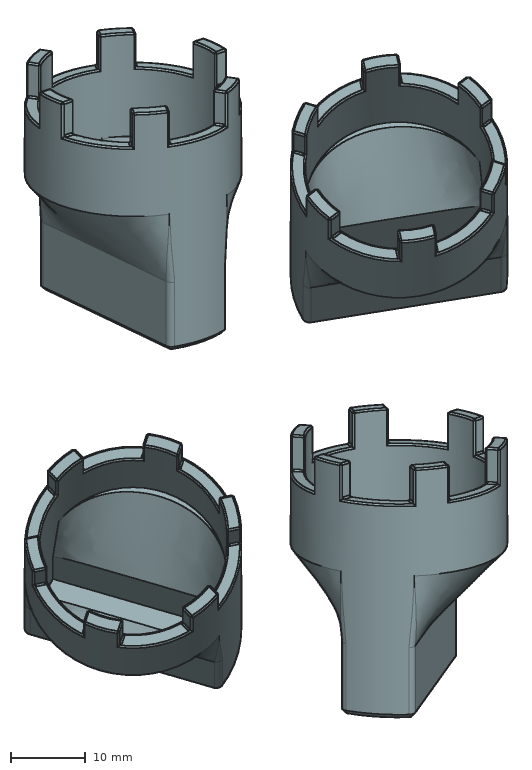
import cadquery as cq
import math

outer_radius = 29.0 / 2
wall = 2.0
bore_radius = outer_radius - wall

blade_top = 10.0
cup_bottom = 20.0
rim_level = 30.0
tooth_top = 35.0

blade_half = 10.0 / 2
blade_corner_radius = 1.0
blade_chamfer = 0.6
slot_half = blade_half - wall
slot_floor = wall

tooth_count = 6
tooth_width = 5.0
tooth_pitch = 360.0 / tooth_count
first_tooth_angle = 90.0
crown_chamfer = 0.25

blade_end = math.sqrt(outer_radius**2 - blade_half**2)

neck_height = cup_bottom - blade_top
neck_run = outer_radius - blade_half
slope_step = wall * math.hypot(neck_run, neck_height) / neck_height
neck_inner_half = blade_half - slope_step

slot_end = math.sqrt(bore_radius**2 - slot_half**2)
inner_corner_x = blade_end * bore_radius / outer_radius
inner_corner_y = blade_half * bore_radius / outer_radius

corner_angle = math.asin(blade_half / outer_radius)
ledge_spans = 8


def disc(radius, bottom, top):
    """Upright cylinder on the Z axis."""
    return cq.Workplane("XY", origin=(0, 0, bottom)).circle(radius).extrude(top - bottom)


def flat_bar(radius, half_width, bottom, top):
    """Upright cylinder cut down to a bar by two flats parallel to X."""
    slab = cq.Workplane("XY", origin=(0, 0, bottom)).rect(2 * radius, 2 * half_width)
    return disc(radius, bottom, top).intersect(slab.extrude(top - bottom))


def both_sides(solid):
    """The solid together with its mirror image across the XZ plane."""
    return solid.union(solid.mirror("XZ"))


def outer_neck():
    """Slope ruled from the straight blade edge up to the round edge of the cup."""
    side = (
        cq.Workplane("XY", origin=(0, 0, blade_top))
        .moveTo(-blade_end, 0)
        .lineTo(blade_end, 0)
        .lineTo(blade_end, blade_half)
        .lineTo(-blade_end, blade_half)
        .close()
        .workplane(offset=neck_height)
        .moveTo(-blade_end, 0)
        .lineTo(blade_end, 0)
        .lineTo(blade_end, blade_half)
        .threePointArc((0, outer_radius), (-blade_end, blade_half))
        .close()
        .loft(ruled=True)
    )
    return both_sides(side)


def ledge_points():
    """Top edge of the inner slope, from just after its +X corner round to its -X corner.

    Each ruling of the outer slope runs from the cup edge to the blade edge. Its radial
    lean sets how far in from the cup edge the wall thickness reaches.
    """
    points = []
    for index in range(1, ledge_spans + 1):
        share = index / ledge_spans
        angle = corner_angle + share * (math.pi - 2 * corner_angle)
        blade_x = blade_end * (1 - 2 * share)
        blade_reach = blade_x * math.cos(angle) + blade_half * math.sin(angle)
        lean = (outer_radius - blade_reach) / neck_height
        radius = outer_radius - wall * math.hypot(1, lean)
        points.append((radius * math.cos(angle), radius * math.sin(angle)))
    return points


def inner_neck():
    """Hollow of the neck, leaving a narrow flat ledge at the bottom of the bore."""
    side = (
        cq.Workplane("XY", origin=(0, 0, blade_top))
        .moveTo(-outer_radius, 0)
        .lineTo(outer_radius, 0)
        .lineTo(outer_radius, slot_half)
        .lineTo(slot_end, slot_half)
        .threePointArc((0, neck_inner_half), (-slot_end, slot_half))
        .lineTo(-outer_radius, slot_half)
        .close()
        .workplane(offset=neck_height)
        .moveTo(-outer_radius, 0)
        .lineTo(outer_radius, 0)
        .lineTo(outer_radius, inner_corner_y)
        .lineTo(inner_corner_x, inner_corner_y)
        .spline(ledge_points(), includeCurrent=True)
        .lineTo(-outer_radius, inner_corner_y)
        .close()
        .loft(ruled=True)
    )
    return both_sides(side).intersect(disc(bore_radius, blade_top, cup_bottom))


def outer_body():
    """Blade, neck and cup, with the blade corners rounded and its foot chamfered."""
    foot = flat_bar(outer_radius, blade_half, 0, cup_bottom).union(outer_neck())
    foot = foot.edges("|Z").fillet(blade_corner_radius)
    foot = foot.faces("<Z").chamfer(blade_chamfer)
    return foot.union(disc(outer_radius, cup_bottom, tooth_top))


def cavity():
    """Bore, tapered neck and the slot down into the blade."""
    slot = flat_bar(bore_radius, slot_half, slot_floor, cup_bottom)
    return slot.union(inner_neck()).union(disc(bore_radius, cup_bottom, tooth_top))


def crown_gaps():
    """Everything above the rim level except the parallel-sided teeth."""
    gaps = disc(2 * outer_radius, rim_level, tooth_top)
    for index in range(tooth_count):
        tooth = (
            cq.Workplane("XY", origin=(outer_radius, 0, rim_level))
            .rect(outer_radius, tooth_width)
            .extrude(tooth_top - rim_level)
        )
        angle = first_tooth_angle + index * tooth_pitch
        gaps = gaps.cut(tooth.rotate((0, 0, 0), (0, 0, 1), angle))
    return gaps


def tooth_root_edges(body):
    """Straight edges at the rim level, where the tooth sides rise from it."""
    level = cq.selectors.BoxSelector(
        (-outer_radius, -outer_radius, rim_level - crown_chamfer / 2),
        (outer_radius, outer_radius, rim_level + crown_chamfer / 2),
    )
    return body.edges(level).edges("%LINE").edges("#Z")


def bevel_crown(body):
    """Chamfer the outward edges of the rim and teeth, then fill the tooth roots with a bevel."""
    crown = cq.selectors.BoxSelector(
        (-outer_radius, -outer_radius, rim_level - crown_chamfer / 2),
        (outer_radius, outer_radius, tooth_top + crown_chamfer),
    )
    roots = tooth_root_edges(body).vals()
    outward = [
        edge for edge in body.edges(crown).vals()
        if not any(edge.isSame(root) for root in roots)
    ]
    body = body.newObject(outward).chamfer(crown_chamfer)
    return tooth_root_edges(body).chamfer(crown_chamfer)


result = bevel_crown(outer_body().cut(cavity()).cut(crown_gaps()))